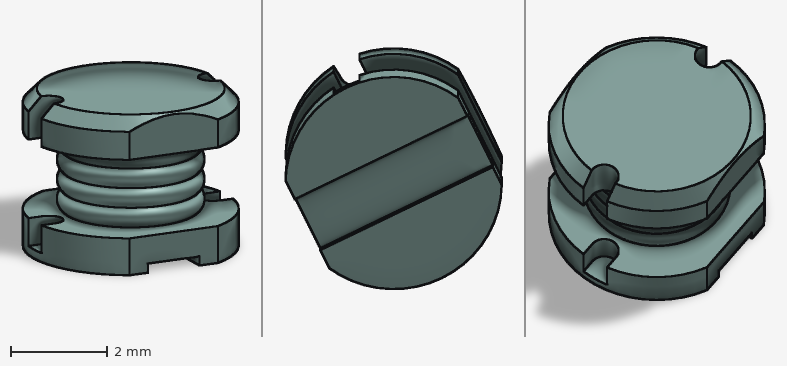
import cadquery as cq

flange_diameter = 4.5
width_across_flats = 4.0
total_height = 3.4
bottom_thickness = 0.8
top_thickness = 0.9
top_chamfer = 0.292

slot_width = 0.6
slot_depth = 0.645
slot_floor = 0.2

channel_width = 1.2
channel_depth = 0.2

turn_count = 4
winding_radius = 1.54
groove_depth = 0.11

flange_radius = flange_diameter / 2
top_flange_base = total_height - top_thickness
turn_pitch = (top_flange_base - bottom_thickness) / turn_count
half_pitch = turn_pitch / 2
core_radius = winding_radius - groove_depth


def make_flange(base, thickness, chamfer=0.0):
    """Disc with an optional top chamfer, then trimmed by the two flats."""
    disc = cq.Workplane("XY").workplane(offset=base).circle(flange_radius).extrude(thickness)
    if chamfer > 0:
        disc = disc.faces(">Z").edges().chamfer(chamfer)
    flats = (
        cq.Workplane("XY")
        .workplane(offset=base)
        .rect(width_across_flats, flange_diameter)
        .extrude(thickness)
    )
    return disc.intersect(flats)


def make_winding():
    """Core with rounded turns, overlapping into both flanges at its ends."""
    core = (
        cq.Workplane("XY")
        .workplane(offset=slot_floor)
        .circle(core_radius)
        .extrude(top_flange_base + top_thickness / 2 - slot_floor)
    )
    profile = cq.Workplane("XZ").moveTo(0, bottom_thickness).lineTo(core_radius, bottom_thickness)
    for turn in range(turn_count):
        turn_base = bottom_thickness + turn * turn_pitch
        profile = profile.threePointArc(
            (winding_radius, turn_base + half_pitch),
            (core_radius, turn_base + turn_pitch),
        )
    turns = profile.lineTo(0, top_flange_base).close().revolve(360, (0, 0, 0), (0, 1, 0))
    return core.union(turns)


def make_slot(side):
    """Round-ended slot open to the rim, on the side given by the sign of Y."""
    half_width = slot_width / 2
    rim = side * flange_radius
    arc_start = side * (flange_radius - slot_depth + half_width)
    slot_end = side * (flange_radius - slot_depth)
    return (
        cq.Workplane("XY")
        .workplane(offset=slot_floor)
        .moveTo(-half_width, rim)
        .lineTo(-half_width, arc_start)
        .threePointArc((0, slot_end), (half_width, arc_start))
        .lineTo(half_width, rim)
        .close()
        .extrude(total_height - slot_floor)
    )


bottom_flange = make_flange(0, bottom_thickness)
top_flange = make_flange(top_flange_base, top_thickness, top_chamfer)
channel = cq.Workplane("XY").rect(width_across_flats, channel_width).extrude(channel_depth)

result = bottom_flange.union(top_flange).union(make_winding())
for side in (-1, 1):
    result = result.cut(make_slot(side))
result = result.cut(channel)